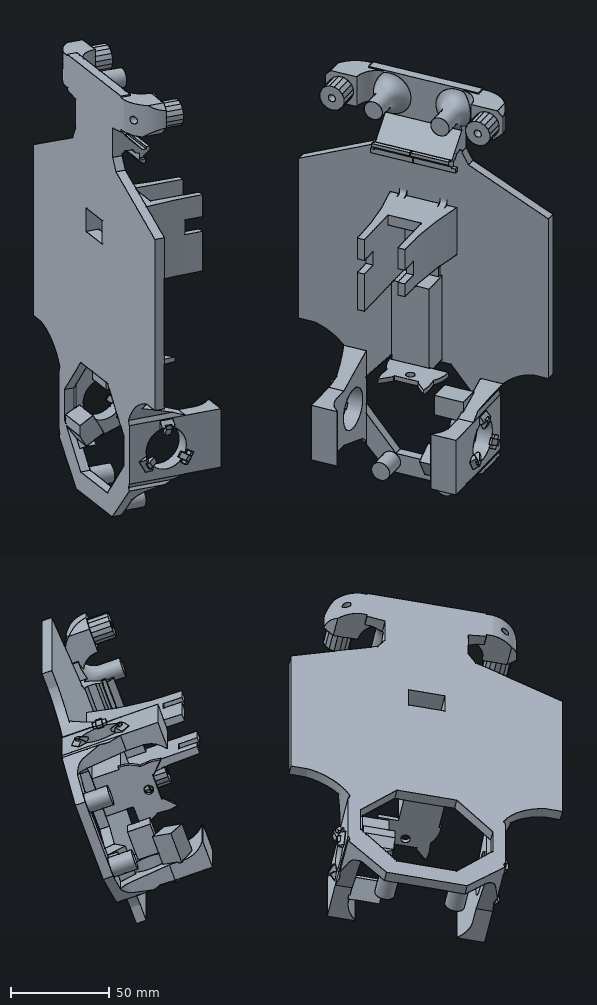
import cadquery as cq
import math


LENGTH = 235.0
HALF_WIDTH = 70.5
PLATE_THICK = 5.5
OVERLAP = 0.7
PLATE_SINK = PLATE_THICK - OVERLAP

BUMPER_HALF = 31.0
BUMPER_BOTTOM = 215.3
NECK_HALF = 21.6
NECK_TOP = 213.8
NECK_BOTTOM = 197.9
SHOULDER_HALF = 25.4
SHOULDER_TOP = 191.3
SHOULDER_BOTTOM = 170.8
BODY_BOTTOM = 76.8
ARC_START_X = 61.5
ARC_MID = (48.9, 71.0)
ARC_END = (40.0, 60.2)
TAIL_HALF = 41.0
TAIL_BOTTOM_HALF = 21.0
TAIL_NOTCH_Z = 23.3
TAIL_CHAMFER_Z = 21.6

OPENING_HALF = 34.3
OPENING_FLAT_HALF = 15.5
OPENING_TOP = 71.5
OPENING_BOTTOM = 11.3
OPENING_SIDE_TOP = 49.5
OPENING_SIDE_BOTTOM = 33.1

AXLE_Y = 21.0
AXLE_Z = 41.4
AXLE_RADIUS = 11.3
BRACKET_TOP = 57.5
BRACKET_BOTTOM = 25.4
BRACKET_HEIGHT = 52.0
BRACKET_INNER = 32.2
BRACKET_LIP_INNER = 26.3
LIP_START_Y = 41.1
LIP_THICK = 0.5
LIP_ARC_MID = (30.5, 46.5)
GUSSET_TOP = 67.5
GUSSET_BOTTOM = 11.8
GUSSET_HEIGHT = 31.7
GUSSET_BEND = (11.3, 18.5)
GUSSET_ARC_MID = (7.5, 16.2)
RADIAL_ANGLES = (90, 210, 330)
CLIP_WIDTH = 7.3
TOOTH_WIDTH = 3.3

BLOCK_TOP = 234.3
BLOCK_BOTTOM = 216.7
BLOCK_FLAT_HALF = 34.3
BLOCK_INNER = 32.2
BLOCK_FOOT_X = 22.5
BLOCK_ARC_MID = (45.5, 5.9)
BLOCK_HOLLOW_MID = (29.1, 8.7)
BLOCK_OUTER = 50.0
BLOCK_HEIGHT = 16.5
BLOCK_CHAMFER_TOP = 3.0
BLOCK_CHAMFER_BOTTOM = 5.0
KNOB_X = 41.1
KNOB_Z = 225.1
KNOB_RADIUS = 7.0
KNOB_SIDES = 16
KNOB_END = 27.3
KNOB_HOLE_RADIUS = 2.0
FRONT_PEG_X = 18.8
PEG_RADIUS = 5.2
FRONT_PEG_Z = 222.3
FRONT_PEG_END = 25.1
PEG_FLARE_RADIUS = 11.8
PEG_FLARE_MID = (7.0, 8.7)
PEG_FLARE_TOP = 15.3
REAR_PEG_X = 18.0
REAR_PEG_Z = 6.5
REAR_PEG_END = 18.0

HOOK_HALF = NECK_HALF
HOOK_SLIT = 0.5
CATCH_TOP = 200.2
CATCH_BOTTOM = 192.5
CATCH_HIGH_Y = 17.6
CATCH_TIP_Y = 21.2
HOOK_ROOT_TOP = 210.5
HOOK_ROOT_BOTTOM = 198.8
HOOK_TIP = (17.0, 199.0)
EAR_HALF = 24.0
EAR_LOW_Y = 15.5
EAR_TOP = 194.8

MOUNT_TOP = 164.5
MOUNT_STEP = 136.8
MOUNT_BOTTOM = 122.5
MOUNT_HEIGHT = 55.0
MOUNT_OUTER = 13.5
MOUNT_INNER = 9.5
MOUNT_FOOT_HALF = 18.8
MOUNT_FLARE_MID = (15.0, 25.8)
MOUNT_ROOT_RADIUS = 3.0
PAD_HEIGHT = 7.3
BRIDGE_HEIGHT = 27.3
NOTCH_TOP = 152.3
NOTCH_BOTTOM = 144.3
NOTCH_DEPTH = 10.0
WINDOW_TOP = 158.6
WINDOW_BOTTOM = 145.7
RAIL_HALF = 10.5
RAIL_HEIGHT = 20.7
RAIL_BOTTOM = 73.0

TAB_THICK = 2.8
TAB_X = -4.7
TAB_RADIUS = 16.5
TAB_FLAT_Y = 35.0
TAB_HOLE_Y = 30.5
TAB_HOLE_RADIUS = 2.4

ARM_TIP_X = -16.5
ARM_WIDTH = 12.2
ARM_INNER_RADIUS = 12.0
ARM_OUTER_RADIUS = 23.5
WEB_LOW_Y = 3.3
WEB_HIGH_Y = 9.5
WEB_ROOT_TOP = 35.2
WEB_ROOT_BOTTOM = 31.7
WEB_TIP_Z = 24.2
WEB_LOW_CORNER = (-23.3, 20.7)


def box(x0, x1, y0, y1, z0, z1):
    """Box given by its limits along each axis."""
    return cq.Workplane("XY").box(x1 - x0, y1 - y0, z1 - z0, centered=False).translate((x0, y0, z0))


def mirrored_pair(solid):
    """The solid together with its mirror image across X = 0."""
    return solid.union(solid.mirror("YZ"))


def rod(x, z, radius, y0, y1):
    """Round bar along Y."""
    return cq.Workplane("XZ", origin=(x, y0, z)).circle(radius).extrude(y0 - y1)


def plate_prism(height):
    """Plate outline raised from Y = 0 to the given height."""
    half = (
        cq.Workplane("XZ")
        .moveTo(0, LENGTH)
        .lineTo(BUMPER_HALF, LENGTH)
        .lineTo(BUMPER_HALF, BUMPER_BOTTOM)
        .lineTo(NECK_HALF, NECK_TOP)
        .lineTo(NECK_HALF, NECK_BOTTOM)
        .lineTo(SHOULDER_HALF, SHOULDER_TOP)
        .lineTo(HALF_WIDTH, SHOULDER_BOTTOM)
        .lineTo(HALF_WIDTH, BODY_BOTTOM)
        .lineTo(ARC_START_X, BODY_BOTTOM)
        .threePointArc(ARC_MID, ARC_END)
        .lineTo(TAIL_HALF, BRACKET_TOP)
        .lineTo(TAIL_HALF, BRACKET_BOTTOM)
        .lineTo(ARC_END[0], TAIL_NOTCH_Z)
        .lineTo(TAIL_HALF, TAIL_CHAMFER_Z)
        .lineTo(TAIL_BOTTOM_HALF, 0)
        .lineTo(0, 0)
        .close()
        .extrude(-height)
    )
    return mirrored_pair(half)


def octagon_opening():
    """Through opening inside the tail of the plate."""
    right = [
        (OPENING_FLAT_HALF, OPENING_TOP),
        (OPENING_HALF, OPENING_SIDE_TOP),
        (OPENING_HALF, OPENING_SIDE_BOTTOM),
        (OPENING_FLAT_HALF, OPENING_BOTTOM),
    ]
    left = [(-x, z) for x, z in reversed(right)]
    return cq.Workplane("XZ").polyline(right + left).close().extrude(-PLATE_THICK)


def bracket_gussets():
    """Flanks that follow the plate edge and blend the axle brackets into the plate."""
    flank = (
        cq.Workplane("YZ", origin=(-HALF_WIDTH, 0, 0))
        .moveTo(0, GUSSET_TOP)
        .lineTo(PLATE_THICK, GUSSET_TOP)
        .lineTo(GUSSET_HEIGHT, BRACKET_TOP)
        .lineTo(GUSSET_HEIGHT, BRACKET_BOTTOM)
        .lineTo(*GUSSET_BEND)
        .threePointArc(GUSSET_ARC_MID, (PLATE_THICK, GUSSET_BOTTOM))
        .lineTo(0, GUSSET_BOTTOM)
        .close()
        .extrude(2 * HALF_WIDTH)
    )
    cavity = box(-BRACKET_INNER, BRACKET_INNER, PLATE_THICK, BRACKET_HEIGHT, 0, LENGTH)
    return plate_prism(BRACKET_HEIGHT).intersect(flank).cut(cavity)


def axle_bracket():
    """Right-hand bracket wall; its free end curls inward."""
    return (
        cq.Workplane("XY", origin=(0, 0, BRACKET_BOTTOM))
        .moveTo(OPENING_HALF, 0)
        .lineTo(TAIL_HALF, 0)
        .lineTo(TAIL_HALF, BRACKET_HEIGHT)
        .lineTo(BRACKET_LIP_INNER, BRACKET_HEIGHT)
        .lineTo(BRACKET_LIP_INNER, BRACKET_HEIGHT - LIP_THICK)
        .threePointArc(LIP_ARC_MID, (BRACKET_INNER, LIP_START_Y))
        .lineTo(BRACKET_INNER, PLATE_THICK)
        .lineTo(OPENING_HALF, PLATE_THICK)
        .close()
        .extrude(BRACKET_TOP - BRACKET_BOTTOM)
    )


def axle_clip(angle):
    """Wedge and inward tooth on the outer face of the right bracket, beside the axle hole."""
    face = TAIL_HALF - OVERLAP
    wedge = [(AXLE_RADIUS, face), (15.7, face), (15.7, 41.1), (12.7, 43.7), (AXLE_RADIUS, 42.0)]
    tooth = [(AXLE_RADIUS, face), (13.6, face), (13.6, 44.5), (11.8, 44.5), (8.0, 42.8), (8.0, 41.5)]

    def radial_prism(profile, width):
        points = [(x, AXLE_Z + radius) for radius, x in profile]
        plane = cq.Workplane("XZ", origin=(0, AXLE_Y + width / 2, 0))
        prism = plane.polyline(points).close().extrude(width)
        return prism.rotate((0, AXLE_Y, AXLE_Z), (1, AXLE_Y, AXLE_Z), angle - 90)

    return radial_prism(wedge, CLIP_WIDTH).union(radial_prism(tooth, TOOTH_WIDTH))


def bumper_block():
    """Right-hand bumper corner: rounded outside, concave inside, corners cut at its outer end."""
    block = (
        cq.Workplane("XY", origin=(0, 0, BLOCK_BOTTOM))
        .moveTo(BUMPER_HALF - OVERLAP, 0)
        .lineTo(BLOCK_FLAT_HALF, 0)
        .threePointArc(BLOCK_ARC_MID, (BLOCK_OUTER, BLOCK_HEIGHT))
        .lineTo(BLOCK_INNER, BLOCK_HEIGHT)
        .threePointArc(BLOCK_HOLLOW_MID, (BLOCK_FOOT_X, PLATE_THICK))
        .lineTo(BLOCK_FOOT_X, PLATE_SINK)
        .lineTo(BUMPER_HALF - OVERLAP, PLATE_SINK)
        .close()
        .extrude(BLOCK_TOP - BLOCK_BOTTOM)
    )
    silhouette = (
        cq.Workplane("XZ")
        .moveTo(0, BLOCK_TOP)
        .lineTo(BLOCK_OUTER - BLOCK_CHAMFER_TOP, BLOCK_TOP)
        .lineTo(BLOCK_OUTER, BLOCK_TOP - BLOCK_CHAMFER_TOP)
        .lineTo(BLOCK_OUTER, BLOCK_BOTTOM + BLOCK_CHAMFER_BOTTOM)
        .lineTo(BLOCK_OUTER - BLOCK_CHAMFER_BOTTOM, BLOCK_BOTTOM)
        .lineTo(0, BLOCK_BOTTOM)
        .close()
        .extrude(-BLOCK_HEIGHT)
    )
    return block.intersect(silhouette)


def knob():
    """Faceted knob standing on the right bumper block."""
    start = BLOCK_HEIGHT - OVERLAP
    return (
        cq.Workplane("XZ", origin=(KNOB_X, start, KNOB_Z))
        .polygon(KNOB_SIDES, 2 * KNOB_RADIUS)
        .extrude(start - KNOB_END)
        .rotate((KNOB_X, 0, KNOB_Z), (KNOB_X, 1, KNOB_Z), 180 / KNOB_SIDES)
    )


def front_peg():
    """Peg on the bumper whose foot flares into the plate and is trimmed to its outline."""
    peg = (
        cq.Workplane("XY")
        .moveTo(0, PLATE_SINK)
        .lineTo(PEG_FLARE_RADIUS, PLATE_SINK)
        .lineTo(PEG_FLARE_RADIUS, PLATE_THICK)
        .threePointArc(PEG_FLARE_MID, (PEG_RADIUS, PEG_FLARE_TOP))
        .lineTo(PEG_RADIUS, FRONT_PEG_END)
        .lineTo(0, FRONT_PEG_END)
        .close()
        .revolve(360, (0, 0, 0), (0, 1, 0))
        .translate((FRONT_PEG_X, 0, FRONT_PEG_Z))
    )
    return peg.intersect(plate_prism(FRONT_PEG_END))


def neck_hook():
    """Slanted arm behind the neck with a split T-shaped catch and side ears at its tip."""
    arm = [
        (PLATE_SINK, HOOK_ROOT_TOP),
        (PLATE_THICK, HOOK_ROOT_TOP),
        HOOK_TIP,
        (19.0, HOOK_TIP[1]),
        (19.0, CATCH_TOP),
        (CATCH_TIP_Y, CATCH_TOP),
        (CATCH_TIP_Y, 198.3),
        (CATCH_HIGH_Y, 195.5),
        (CATCH_HIGH_Y, 193.2),
        (16.7, CATCH_BOTTOM),
        (EAR_LOW_Y, CATCH_BOTTOM),
        (15.0, 193.5),
        (15.0, 197.5),
        (13.2, 197.9),
        (11.3, 200.0),
        (7.0, 200.2),
        (PLATE_THICK, HOOK_ROOT_BOTTOM),
        (PLATE_SINK, HOOK_ROOT_BOTTOM),
    ]
    hook = cq.Workplane("YZ", origin=(-HOOK_HALF, 0, 0)).polyline(arm).close().extrude(2 * HOOK_HALF)
    half_slit = HOOK_SLIT / 2
    slit = box(-half_slit, half_slit, HOOK_TIP[0], CATCH_TIP_Y, CATCH_BOTTOM, CATCH_TOP)
    ears = box(-EAR_HALF, EAR_HALF, EAR_LOW_Y, CATCH_HIGH_Y, CATCH_BOTTOM, EAR_TOP)
    return hook.union(ears).cut(slit)


def mount_wall(bottom):
    """Right-hand wall of the mount, from the given level up, with a fillet at its upper root."""
    wall = (
        cq.Workplane("XY", origin=(0, 0, bottom))
        .moveTo(MOUNT_INNER, PLATE_SINK)
        .lineTo(MOUNT_INNER, MOUNT_HEIGHT)
        .lineTo(MOUNT_OUTER, MOUNT_HEIGHT)
        .threePointArc(MOUNT_FLARE_MID, (MOUNT_FOOT_HALF, PLATE_THICK))
        .lineTo(MOUNT_FOOT_HALF, PLATE_SINK)
        .close()
        .extrude(MOUNT_TOP - bottom)
    )
    root_fillet = (
        cq.Workplane("YZ", origin=(MOUNT_INNER, 0, MOUNT_TOP))
        .moveTo(PLATE_SINK, -OVERLAP)
        .lineTo(PLATE_SINK, MOUNT_ROOT_RADIUS)
        .lineTo(PLATE_THICK, MOUNT_ROOT_RADIUS)
        .radiusArc((PLATE_THICK + MOUNT_ROOT_RADIUS, 0), -MOUNT_ROOT_RADIUS)
        .lineTo(PLATE_THICK + MOUNT_ROOT_RADIUS, -OVERLAP)
        .close()
        .extrude(MOUNT_OUTER - MOUNT_INNER)
    )
    return wall.union(root_fillet)


def forked_mount():
    """Two notched walls joined by a bridge above the window and a low pad below it."""
    right_wall = mount_wall(MOUNT_BOTTOM)
    left_wall = mount_wall(MOUNT_STEP).mirror("YZ")
    bridge = box(-MOUNT_OUTER, MOUNT_OUTER, PLATE_SINK, BRIDGE_HEIGHT, WINDOW_TOP, MOUNT_TOP)
    pad = box(-MOUNT_INNER, MOUNT_OUTER, PLATE_SINK, PAD_HEIGHT, MOUNT_BOTTOM, WINDOW_BOTTOM)
    notch = box(
        -MOUNT_FOOT_HALF,
        MOUNT_FOOT_HALF,
        MOUNT_HEIGHT - NOTCH_DEPTH,
        MOUNT_HEIGHT,
        NOTCH_BOTTOM,
        NOTCH_TOP,
    )
    return right_wall.union(left_wall).union(bridge).union(pad).cut(notch)


def rail():
    """Straight bar that runs from the mount down to the tab."""
    return box(-RAIL_HALF, RAIL_HALF, PLATE_SINK, RAIL_HEIGHT, RAIL_BOTTOM, MOUNT_BOTTOM)


def horned_tab():
    """Round-shouldered tab with two pointed horns and a screw hole at the end of the rail."""
    flat_half = math.sqrt(TAB_RADIUS**2 - (TAB_FLAT_Y - RAIL_HEIGHT) ** 2)
    foot = RAIL_HEIGHT - OVERLAP
    plane = cq.Workplane("XY", origin=(TAB_X, 0, RAIL_BOTTOM))
    half = (
        plane.moveTo(0, foot)
        .lineTo(TAB_RADIUS, foot)
        .lineTo(TAB_RADIUS, RAIL_HEIGHT)
        .radiusArc((flat_half, TAB_FLAT_Y), -TAB_RADIUS)
        .lineTo(0, TAB_FLAT_Y)
        .close()
        .extrude(TAB_THICK)
    )
    horn_points = [(6.8, TAB_FLAT_Y), (6.8, 36.0), (13.0, 41.8), (13.6, 37.0), (13.2, 30.5), (6.8, 30.5)]
    half = half.union(plane.polyline(horn_points).close().extrude(TAB_THICK))
    tab = half.union(half.mirror("YZ", (TAB_X, 0, 0)))
    hole = cq.Workplane("XY", origin=(TAB_X, TAB_HOLE_Y, RAIL_BOTTOM)).circle(TAB_HOLE_RADIUS)
    return tab.cut(hole.extrude(TAB_THICK))


def cradle():
    """Three radial arms around the axle on the inner side of the left bracket, and a web under one."""
    root = -BRACKET_INNER - OVERLAP
    arms = cq.Workplane("XY")
    for angle in RADIAL_ANGLES:
        arm = box(
            root,
            ARM_TIP_X,
            AXLE_Y - ARM_WIDTH / 2,
            AXLE_Y + ARM_WIDTH / 2,
            AXLE_Z + ARM_INNER_RADIUS,
            AXLE_Z + ARM_OUTER_RADIUS,
        )
        arms = arms.union(arm.rotate((0, AXLE_Y, AXLE_Z), (1, AXLE_Y, AXLE_Z), angle - 90))
    web_points = [
        (root, WEB_ROOT_TOP),
        (ARM_TIP_X, WEB_TIP_Z),
        WEB_LOW_CORNER,
        (root, WEB_ROOT_BOTTOM),
    ]
    web = cq.Workplane("XZ", origin=(0, WEB_LOW_Y, 0)).polyline(web_points).close()
    above_plate_face = box(root, 0, 0, BRACKET_HEIGHT, 0, LENGTH)
    return arms.union(web.extrude(WEB_LOW_Y - WEB_HIGH_Y)).intersect(above_plate_face)


body = plate_prism(PLATE_THICK).union(bracket_gussets()).cut(octagon_opening())

for fitting in (axle_bracket(), bumper_block(), knob(), front_peg()):
    body = body.union(mirrored_pair(fitting))

rear_peg = rod(REAR_PEG_X, REAR_PEG_Z, PEG_RADIUS, PLATE_SINK, REAR_PEG_END)
body = body.union(mirrored_pair(rear_peg))

for fitting in (neck_hook(), forked_mount(), rail(), horned_tab(), cradle()):
    body = body.union(fitting)

axle_hole = (
    cq.Workplane("YZ", origin=(BRACKET_INNER, AXLE_Y, AXLE_Z))
    .circle(AXLE_RADIUS)
    .extrude(TAIL_HALF - BRACKET_INNER)
)
body = body.cut(mirrored_pair(axle_hole))
for clip_angle in RADIAL_ANGLES:
    body = body.union(mirrored_pair(axle_clip(clip_angle)))

body = body.cut(box(-MOUNT_INNER, MOUNT_INNER, 0, PLATE_THICK, WINDOW_BOTTOM, WINDOW_TOP))
body = body.cut(mirrored_pair(rod(KNOB_X, KNOB_Z, KNOB_HOLE_RADIUS, 0, KNOB_END)))

result = body